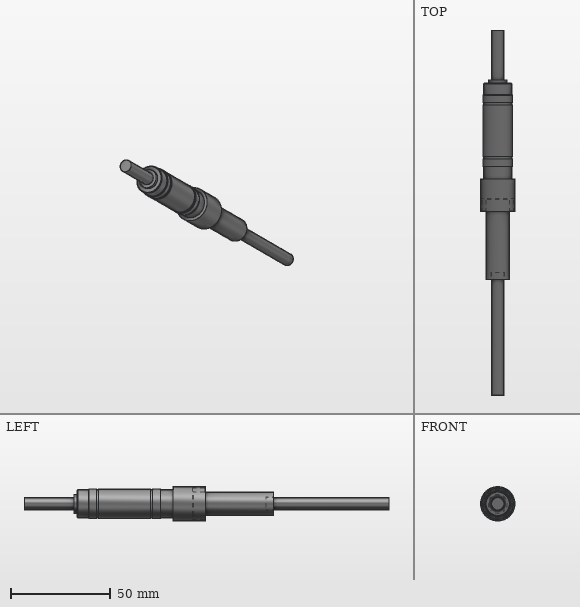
import cadquery as cq

total_length = 184.2
rear_end = total_length / 2
front_end = -total_length / 2

cable_diameter = 6.3
seal_diameter = 9.5
nut_diameter = 14.2
ring_diameter = 15.1
grip_diameter = 15.0
groove_diameter = 14.4
neck_diameter = 14.2
collar_diameter = 17.3
sleeve_diameter = 11.8

rear_cable_length = 25.0
seal_length = 1.7
nut_length = 5.7
rear_ring_length = 4.0
groove_width = 1.1
grip_length = 26.1
front_ring_length = 3.9
neck_length = 6.5
collar_length = 16.2
sleeve_length = 34.5

edge_chamfer = 0.4

recess_diameter = 15.8
recess_depth = 6.5
hub_diameter = 12.9
hub_length = (hub_diameter - sleeve_diameter) / 2

sleeve_bore_diameter = 7.0
sleeve_bore_depth = 3.7


def cylinder(diameter, start, length):
    """Cylinder on the Y axis that runs from Y = start toward -Y."""
    profile = cq.Workplane("XZ", origin=(0, start, 0)).circle(diameter / 2)
    return profile.extrude(length)


def hub_cone(start):
    """45 degree cone that narrows toward -Y from the hub to the sleeve diameter."""
    base = cq.Workplane("XZ", origin=(0, start, 0)).circle(hub_diameter / 2)
    return base.workplane(offset=hub_length).circle(sleeve_diameter / 2).loft()


sections = [
    (seal_diameter, seal_length, 0),
    (nut_diameter, nut_length, edge_chamfer),
    (ring_diameter, rear_ring_length, edge_chamfer),
    (groove_diameter, groove_width, 0),
    (grip_diameter, grip_length, 0),
    (groove_diameter, groove_width, 0),
    (ring_diameter, front_ring_length, 0),
    (neck_diameter, neck_length, 0),
    (collar_diameter, collar_length, 0),
    (sleeve_diameter, sleeve_length, 0),
]

body = cylinder(cable_diameter, rear_end, rear_cable_length)
section_start = rear_end - rear_cable_length
for diameter, length, chamfer in sections:
    section = cylinder(diameter, section_start, length)
    if chamfer:
        section = section.faces(">Y").chamfer(chamfer)
    body = body.union(section)
    section_start -= length
sleeve_end = section_start

collar_front = sleeve_end + sleeve_length
recess_floor = collar_front + recess_depth
recess = cylinder(recess_diameter, recess_floor, recess_depth)
recess = recess.cut(cylinder(sleeve_diameter, recess_floor, recess_depth))
recess = recess.cut(hub_cone(recess_floor))
body = body.cut(recess)

bore_floor = sleeve_end + sleeve_bore_depth
body = body.cut(cylinder(sleeve_bore_diameter, bore_floor, sleeve_bore_depth))
front_cable = cylinder(cable_diameter, bore_floor, bore_floor - front_end)

result = body.union(front_cable)